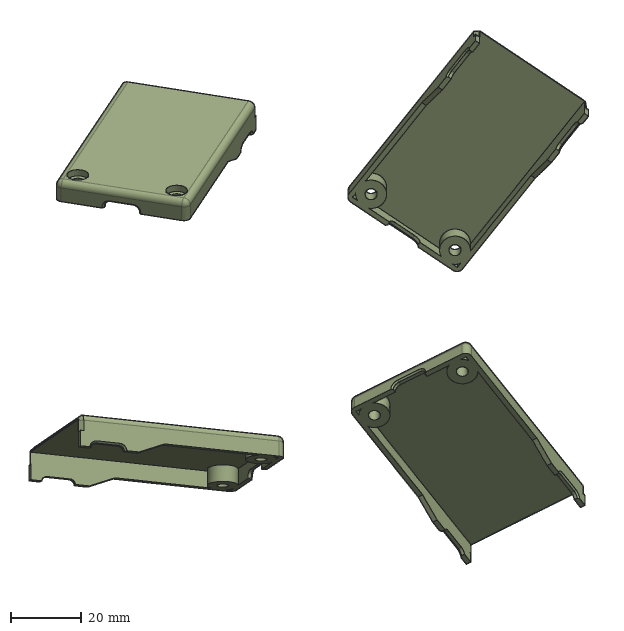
import cadquery as cq

width = 40.0
length = 62.95
height = 9.6
wall = 1.5
edge_radius = 1.95

front_bottom = 3.2
ramp_front = 37.0
ramp_back = 44.8

rim_bottom = 4.6
rim_overhang = 0.2
rim_bevel = 1.15

screw_x = 14.8
screw_y = 5.4
hole_diameter = 3.4
head_diameter = 6.1
head_depth = 2.0
boss_diameter = 8.8

flare = 0.5
front_opening_width = 10.6
front_opening_height = 2.25
front_opening_radius = 1.9
side_opening_width = 10.3
side_opening_height = 1.45
side_opening_radius = 1.7
side_opening_y = 54.25


def box_between(x_min, x_max, y_min, y_max, z_min, z_max):
    size = (x_max - x_min, y_max - y_min, z_max - z_min)
    return cq.Workplane("XY").box(*size, centered=False).translate((x_min, y_min, z_min))


def make_outer_block():
    half = width / 2
    block = box_between(-half, half, 0, length, 0, height)
    block = block.edges("|Z and <Y").fillet(edge_radius)
    return block.faces(">Z").edges("not >Y").fillet(edge_radius)


def make_shell():
    half = width / 2
    inner_half = half - wall
    outer = make_outer_block()
    bevelled = outer.faces(">Y").edges("not <Z").chamfer(rim_bevel)
    upper_trim = outer.cut(bevelled).intersect(box_between(-half, half, 0, length, rim_bottom, height))
    lower_trim = box_between(-half, half, length - rim_overhang, length, 0, rim_bottom)
    cavity = box_between(-inner_half, inner_half, wall, length, 0, height - wall)
    return outer.cut(upper_trim).cut(lower_trim).cut(cavity)


def make_side_profile_cut():
    return (
        cq.Workplane("YZ")
        .polyline([(0, 0), (ramp_back, 0), (ramp_front, front_bottom), (0, front_bottom)])
        .close()
        .extrude(width / 2, both=True)
    )


def arch_section(plane, opening_width, opening_height, radius):
    """Flat-topped arch with rounded upper corners, its legs running past the wall's lower edge."""
    half = opening_width / 2
    return (
        cq.Workplane(plane)
        .moveTo(-half, -2 * flare)
        .lineTo(-half, opening_height - radius)
        .radiusArc((radius - half, opening_height), radius)
        .lineTo(half - radius, opening_height)
        .radiusArc((half, opening_height - radius), radius)
        .lineTo(half, -2 * flare)
        .close()
    )


def make_opening(outer_plane, opening_width, opening_height, radius):
    """Arched cut through one wall; the plane lies on its outer face, facing outward."""
    passage = arch_section(outer_plane, opening_width, opening_height, radius).extrude(-2 * wall)
    flared_mouth = arch_section(
        outer_plane, opening_width + 2 * flare, opening_height + flare, radius + flare
    ).extrude(-flare, taper=45)
    return passage.union(flared_mouth)


def cylinder(x, diameter, z_min, z_max):
    base = cq.Workplane("XY", origin=(x, screw_y, z_min))
    return base.circle(diameter / 2).extrude(z_max - z_min)


def add_screw_seat(body, x):
    boss = cylinder(x, boss_diameter, front_bottom, height - wall)
    body = body.union(boss.intersect(make_outer_block()))
    body = body.cut(cylinder(x, hole_diameter, 0, height))
    return body.cut(cylinder(x, head_diameter, height - head_depth, height))


result = make_shell().cut(make_side_profile_cut())
for screw_side in (-1, 1):
    result = add_screw_seat(result, screw_side * screw_x)

front_plane = cq.Plane(origin=(0, 0, front_bottom), xDir=(1, 0, 0), normal=(0, -1, 0))
result = result.cut(
    make_opening(front_plane, front_opening_width, front_opening_height, front_opening_radius)
)
for wall_side in (-1, 1):
    side_plane = cq.Plane(
        origin=(wall_side * width / 2, side_opening_y, 0),
        xDir=(0, wall_side, 0),
        normal=(wall_side, 0, 0),
    )
    result = result.cut(
        make_opening(side_plane, side_opening_width, side_opening_height, side_opening_radius)
    )